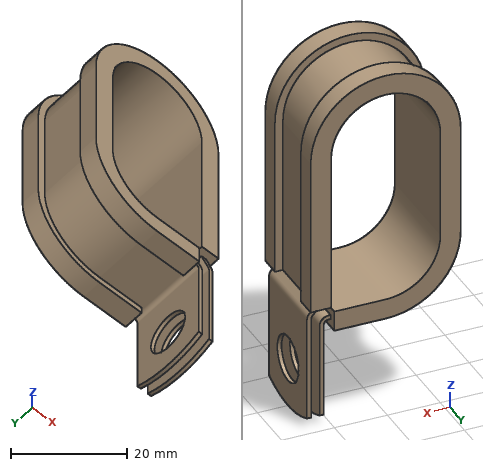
import cadquery as cq
import math

total_height = 68.05
loop_radius = 14.19
cushion_thickness = 3.9
arc_spacing = 20.55
long_leg_end_z = -29.95
short_leg_end_x = 9.7
cushion_width = 18.9
groove_width = 10.75
groove_depth = 1.5

strap_thickness = 0.8
lug_width = 15.8
lug_gap = 1.55
lug_tip_sagitta = 1.7
hole_diameter = 8.8
hole_z = -44.45
long_bend_drop = 1.7
bend_inner_radius = 0.9

lug_tip_z = loop_radius - total_height
strap_outer_radius = loop_radius - groove_depth
bend_outer_radius = bend_inner_radius + strap_thickness
strap_inner_radius = strap_outer_radius - strap_thickness


def loop_band(outer, inner, width):
    """Open band between two offsets of the loop, centred on Y = 0."""
    diagonal = math.sqrt(0.5)
    return (
        cq.Workplane("XZ")
        .moveTo(outer, long_leg_end_z)
        .lineTo(outer, 0)
        .threePointArc((0, outer), (-outer, 0))
        .lineTo(-outer, -arc_spacing)
        .threePointArc((-outer * diagonal, -arc_spacing - outer * diagonal), (0, -arc_spacing - outer))
        .lineTo(short_leg_end_x, -arc_spacing - outer)
        .lineTo(short_leg_end_x, -arc_spacing - inner)
        .lineTo(0, -arc_spacing - inner)
        .threePointArc((-inner * diagonal, -arc_spacing - inner * diagonal), (-inner, -arc_spacing))
        .lineTo(-inner, 0)
        .threePointArc((0, inner), (inner, 0))
        .lineTo(inner, long_leg_end_z)
        .close()
        .extrude(width / 2, both=True)
    )


def strap_tail(points, outer_bend, inner_bend):
    """Strap end from its XZ outline, rounded at the two sides of its bend."""
    tail = cq.Workplane("XZ").polyline(points).close().extrude(lug_width / 2, both=True)
    bends = [(outer_bend, bend_outer_radius), (inner_bend, bend_inner_radius)]
    for (x, z), radius in bends:
        edge = cq.selectors.NearestToPointSelector((x, 0, z))
        tail = tail.edges("|Y").edges(edge).fillet(radius)
    return tail


cushion = loop_band(loop_radius, loop_radius - cushion_thickness, cushion_width)
groove = loop_band(loop_radius, strap_outer_radius, groove_width)
clamp = cushion.cut(groove)

slant_angle = math.atan2(groove_depth, long_bend_drop)
slant_width = strap_thickness / math.cos(slant_angle)
bend_rise = strap_thickness * math.tan(slant_angle / 2)
outer_lug_inner_x = loop_radius - strap_thickness
long_bend_z = long_leg_end_z - long_bend_drop
long_outer_bend = (loop_radius, long_bend_z)
long_inner_bend = (outer_lug_inner_x, long_bend_z - bend_rise)
long_tail = strap_tail(
    [
        (strap_outer_radius - slant_width, long_leg_end_z),
        (strap_outer_radius, long_leg_end_z),
        long_outer_bend,
        (loop_radius, lug_tip_z),
        (outer_lug_inner_x, lug_tip_z),
        long_inner_bend,
    ],
    long_outer_bend,
    long_inner_bend,
)

inner_lug_outer_x = outer_lug_inner_x - lug_gap
inner_lug_inner_x = inner_lug_outer_x - strap_thickness
strap_top_z = -arc_spacing - strap_inner_radius
strap_bottom_z = strap_top_z - strap_thickness
short_outer_bend = (inner_lug_outer_x, strap_top_z)
short_inner_bend = (inner_lug_inner_x, strap_bottom_z)
short_tail = strap_tail(
    [
        (short_leg_end_x, strap_top_z),
        short_outer_bend,
        (inner_lug_outer_x, lug_tip_z),
        (inner_lug_inner_x, lug_tip_z),
        short_inner_bend,
        (short_leg_end_x, strap_bottom_z),
    ],
    short_outer_bend,
    short_inner_bend,
)

lug_corner_z = lug_tip_z + lug_tip_sagitta
lug_plan = (
    cq.Workplane("YZ")
    .moveTo(-lug_width / 2, 0)
    .lineTo(-lug_width / 2, lug_corner_z)
    .threePointArc((0, lug_tip_z), (lug_width / 2, lug_corner_z))
    .lineTo(lug_width / 2, 0)
    .close()
    .extrude(2 * loop_radius)
)
bolt_hole = (
    cq.Workplane("YZ").center(0, hole_z).circle(hole_diameter / 2).extrude(2 * loop_radius)
)
tails = long_tail.union(short_tail).intersect(lug_plan).cut(bolt_hole)

result = clamp.union(tails)